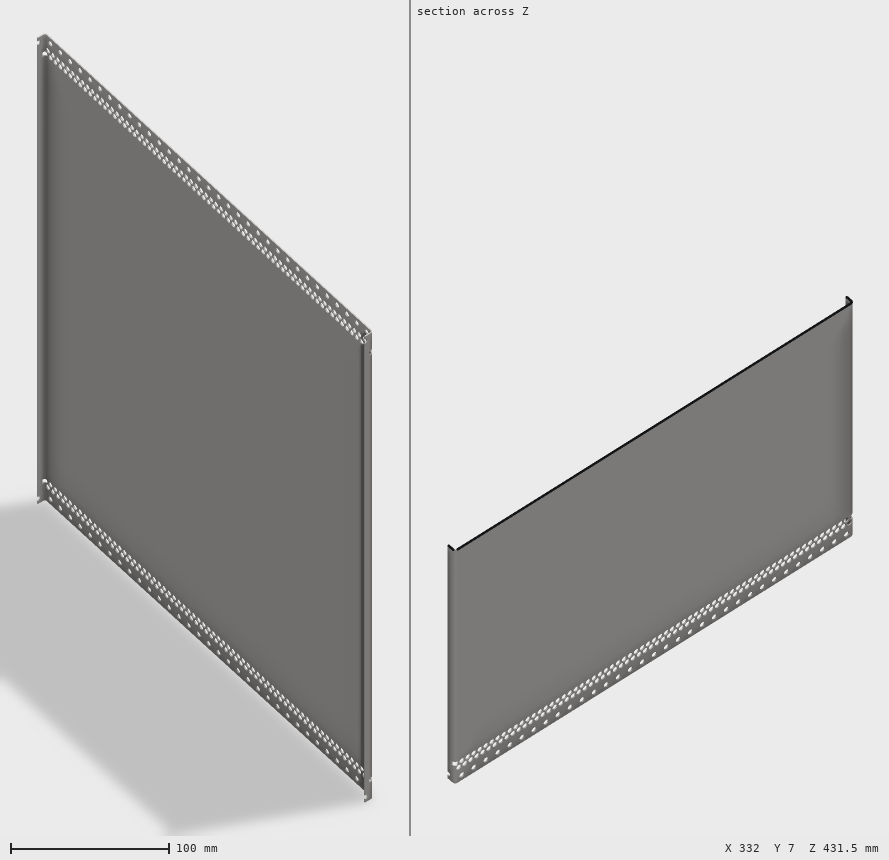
import cadquery as cq
import math

length = 431.5
width = 332.0
depth = 7.0
sheet_thickness = 0.8
bend_radius = 2.0

hole_diameter = 4.0
hole_depth = 3.25
wide_hole_count = 33
side_margin = 3.93
wide_row_margin = 2.75
close_rows_margin = 11.5

notch_radius = 1.7
notch_reach = 2.0

hole_radius = hole_diameter / 2
wide_row_span = width - 2 * side_margin - hole_diameter
wide_pitch = wide_row_span / (wide_hole_count - 1)
close_pitch = wide_pitch / 2
close_row_spacing = close_pitch * math.sin(math.radians(60))
inner_hole_count = 2 * wide_hole_count + 1
outer_hole_count = inner_hole_count - 1

wide_row_inset = wide_row_margin + hole_radius
outer_row_inset = close_rows_margin + hole_radius
inner_row_inset = outer_row_inset + close_row_spacing

half_length = length / 2
back = depth / 2
free_edge = -depth / 2


def rounded_bar(bar_width, radius):
    """Full-length bar whose two long back edges are rounded."""
    return cq.Workplane("XY").box(bar_width, depth, length).edges("|Z and >Y").fillet(radius)


def folded_sheet():
    """Flat panel with a flange bent forward along both long sides."""
    outside = rounded_bar(width, bend_radius)
    inside = rounded_bar(width - 2 * sheet_thickness, bend_radius - sheet_thickness)
    return outside.cut(inside.translate((0, -sheet_thickness, 0)))


def hole_rows(count, pitch, inset):
    """Cylinders for one row along X near each end, reaching forward from the back face."""
    first_x = -(count - 1) * pitch / 2
    row_z = half_length - inset
    centers = [
        (first_x + i * pitch, z)
        for z in (-row_z, row_z)
        for i in range(count)
    ]
    return (
        cq.Workplane("XZ", origin=(0, back, 0))
        .pushPoints(centers)
        .circle(hole_radius)
        .extrude(hole_depth)
    )


def flange_notch(center_z):
    """Notch across both flanges, level with a wide-spaced row and ending in a half circle."""
    bottom = free_edge + notch_reach
    arc_start = bottom - notch_radius
    return (
        cq.Workplane("YZ")
        .moveTo(free_edge, center_z - notch_radius)
        .lineTo(arc_start, center_z - notch_radius)
        .threePointArc((bottom, center_z), (arc_start, center_z + notch_radius))
        .lineTo(free_edge, center_z + notch_radius)
        .close()
        .extrude(width / 2, both=True)
    )


result = folded_sheet()
result = result.cut(hole_rows(wide_hole_count, wide_pitch, wide_row_inset))
result = result.cut(hole_rows(outer_hole_count, close_pitch, outer_row_inset))
result = result.cut(hole_rows(inner_hole_count, close_pitch, inner_row_inset))
for end in (-1, 1):
    result = result.cut(flange_notch(end * (half_length - wide_row_inset)))